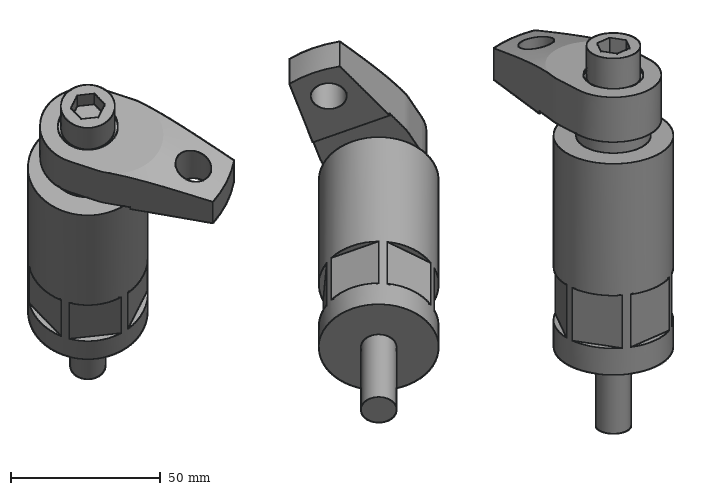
import cadquery as cq
import math

flange_bottom = 30.0
flange_height = 10.1
hex_height = 20.0
barrel_height = 50.0
collar_height = 6.0
arm_height = 17.0
flange_top = flange_bottom + flange_height
barrel_bottom = flange_top + hex_height
barrel_top = barrel_bottom + barrel_height
arm_bottom = barrel_top + collar_height
arm_top = arm_bottom + arm_height
overall_height = 144.0

housing_radius = 20.0
hex_across_flats = 36.0
collar_diameter = 25.0

shank_diameter = 12.0
head_diameter = 18.0
socket_across_flats = 10.0
socket_depth = 6.0

head_recess_diameter = 20.0
head_recess_depth = 1.0
lobe_radius = 16.0
lobe_spacing = 10.0
tip_reach = 50.0
tip_radius = tip_reach - lobe_spacing
taper_angle = math.radians(10)
tip_drop = 6.0
pad_start = 21.0
pad_depth = 1.0
eye_x = 38.0
eye_diameter = 12.0

head_seat = arm_top - head_recess_depth


def cylinder(diameter, bottom, top):
    """Cylinder on the screw axis between two heights."""
    return cq.Workplane("XY").workplane(offset=bottom).circle(diameter / 2).extrude(top - bottom)


def hex_prism(across_flats, bottom, top):
    """Hexagonal prism on the screw axis, with two flats facing along X."""
    across_corners = across_flats / math.cos(math.radians(30))
    prism = cq.Workplane("XY").workplane(offset=bottom).polygon(6, across_corners).extrude(top - bottom)
    return prism.rotate((0, 0, 0), (0, 0, 1), 30)


def make_housing():
    """Flanged barrel with six wrench flats, a top collar and a bore for the screw."""
    body = cylinder(2 * housing_radius, flange_bottom, flange_top)
    wrench_section = cylinder(2 * housing_radius, flange_top, barrel_bottom)
    body = body.union(wrench_section.intersect(hex_prism(hex_across_flats, flange_top, barrel_bottom)))
    body = body.union(cylinder(2 * housing_radius, barrel_bottom, barrel_top))
    body = body.union(cylinder(collar_diameter, barrel_top, arm_bottom))
    return body.cut(cylinder(shank_diameter, flange_bottom, arm_bottom))


def make_screw():
    """Socket head screw that runs through the arm and the housing."""
    screw = cylinder(shank_diameter, 0, head_seat)
    screw = screw.union(cylinder(head_diameter, head_seat, overall_height))
    return screw.cut(hex_prism(socket_across_flats, overall_height - socket_depth, overall_height))


def make_lever():
    """Tapered end of the arm, with an arc tip and a conical top about the outer lobe centre."""
    tangent_x = lobe_spacing + lobe_radius * math.sin(taper_angle)
    tangent_y = lobe_radius * math.cos(taper_angle)
    end_y = tangent_y - (tip_reach - tangent_x) * math.tan(taper_angle)
    lever_bottom = arm_bottom - pad_depth
    lever_height = arm_top - lever_bottom
    wedge = (
        cq.Workplane("XY").workplane(offset=lever_bottom)
        .polyline([(tangent_x, -tangent_y), (tip_reach, -end_y), (tip_reach, end_y), (tangent_x, tangent_y)])
        .close()
        .extrude(lever_height)
    )

    heel = (
        cq.Workplane("XY").workplane(offset=lever_bottom)
        .rect(2 * pad_start, 4 * lobe_radius)
        .extrude(pad_depth)
    )
    cone = (
        cq.Workplane("XZ")
        .polyline([
            (0, lever_bottom),
            (tip_radius, lever_bottom),
            (tip_radius, arm_top - tip_drop),
            (lobe_radius, arm_top),
            (0, arm_top),
        ])
        .close()
        .revolve(360, (0, 0, 0), (0, 1, 0))
        .translate((lobe_spacing, 0, 0))
    )
    return wedge.intersect(cone).cut(heel)


def make_arm():
    """Two-lobed clamp arm with its lever, eye hole, screw hole and head recess."""
    lobes = (
        cq.Workplane("XY").workplane(offset=arm_bottom)
        .center(lobe_spacing / 2, 0)
        .slot2D(lobe_spacing + 2 * lobe_radius, 2 * lobe_radius)
        .extrude(arm_height)
    )
    arm = lobes.union(make_lever())
    arm = arm.cut(cylinder(shank_diameter, arm_bottom, arm_top))
    arm = arm.cut(cylinder(head_recess_diameter, head_seat, arm_top))
    eye = cylinder(eye_diameter, arm_bottom - pad_depth, arm_top).translate((eye_x, 0, 0))
    return arm.cut(eye)


housing = make_housing()
arm = make_arm()
screw = make_screw()

result = cq.Compound.makeCompound([housing.solids().val(), arm.solids().val(), screw.solids().val()])